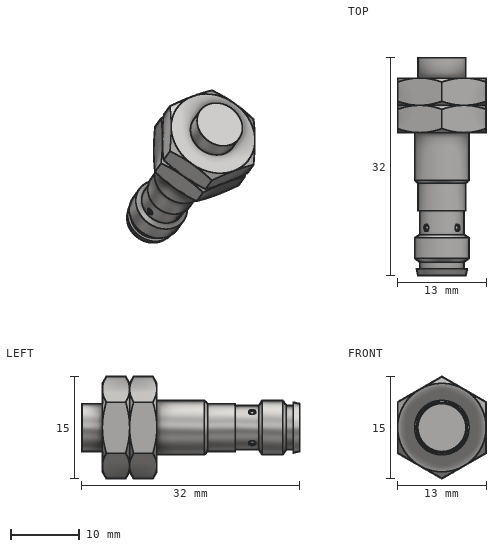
import cadquery as cq
import math

length = 32.0
tip_y = -length / 2
rear_y = length / 2

thread_r = 4.0
body_r = 3.52
neck_r = 3.25
lip_rear_r = 3.75
lip_tip_r = 3.52

lip_length = 1.0
collar_start = 2.0
collar_end = 6.0
neck_end = 9.5
thread_start = 13.55
chamfer_length = 0.48
collar_front_chamfer = 0.55

nut_flats = 13.0
nut_thickness = 4.0
nut_count = 2
rear_stub = 3.0
nut_chamfer_angle = 30.0

window_d = 1.0
window_depth = 0.55
window_from_tip = 7.0
window_count = 4
window_start_angle = 45.0


def turned_body():
    """Revolve the stepped profile, given as (radius, distance from tip), about Y."""
    thread_end = length - rear_stub
    profile = [
        (0, 0),
        (lip_tip_r, 0),
        (lip_rear_r, lip_length),
        (neck_r, lip_length),
        (neck_r, collar_start),
        (thread_r, collar_start + collar_front_chamfer),
        (thread_r, collar_end - chamfer_length),
        (neck_r, collar_end),
        (neck_r, neck_end),
        (body_r, neck_end),
        (body_r, thread_start),
        (thread_r, thread_start + chamfer_length),
        (thread_r, thread_end),
        (body_r, thread_end),
        (body_r, length),
        (0, length),
    ]
    points = [(radius, tip_y + distance) for radius, distance in profile]
    return cq.Workplane("XY").polyline(points).close().revolve(360, (0, 0, 0), (0, 1, 0))


def lock_nut(front_y):
    """Hex nut with corners on +Z and -Z and conical chamfers on both faces."""
    flat_r = nut_flats / 2
    corner_r = flat_r / math.cos(math.radians(30))
    chamfer = (corner_r - flat_r) * math.tan(math.radians(nut_chamfer_angle))
    back_y = front_y + nut_thickness
    corners = []
    for i in range(6):
        angle = math.radians(90 + 60 * i)
        corners.append((corner_r * math.cos(angle), corner_r * math.sin(angle)))
    hexagon = (
        cq.Workplane("XZ", origin=(0, back_y, 0))
        .polyline(corners)
        .close()
        .extrude(nut_thickness)
    )
    envelope = (
        cq.Workplane("XY")
        .polyline([
            (0, front_y),
            (flat_r, front_y),
            (corner_r, front_y + chamfer),
            (corner_r, back_y - chamfer),
            (flat_r, back_y),
            (0, back_y),
        ])
        .close()
        .revolve(360, (0, 0, 0), (0, 1, 0))
    )
    return hexagon.intersect(envelope)


def window_cutter(angle):
    """Radial blind hole leaving a convex dome on its floor, at an angle in degrees from +X about Y."""
    direction = cq.Vector(math.cos(math.radians(angle)), 0, math.sin(math.radians(angle)))
    center = cq.Vector(0, tip_y + window_from_tip, 0)
    floor = center + direction * (neck_r - window_depth)
    cutter_length = thread_r - neck_r + window_depth
    hole = cq.Workplane(cq.Solid.makeCylinder(window_d / 2, cutter_length, floor, direction))
    dome = cq.Workplane("XY", origin=floor.toTuple()).sphere(window_d / 2)
    return hole.cut(dome)


result = turned_body()

for i in range(nut_count):
    result = result.union(lock_nut(rear_y - rear_stub - (i + 1) * nut_thickness))

for i in range(window_count):
    result = result.cut(window_cutter(window_start_angle + i * 360 / window_count))